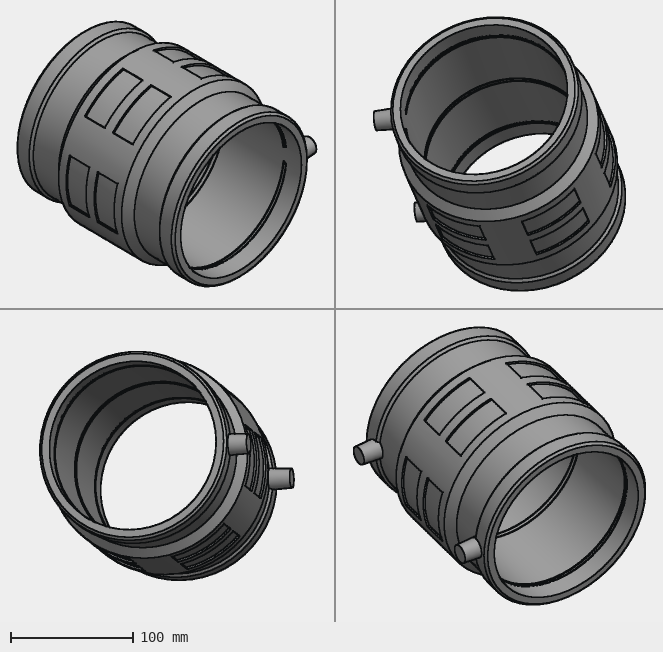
import cadquery as cq

length = 182.0
half_length = length / 2
body_radius = 167.0 / 2
collar_radius = 157.0 / 2
neck_radius = 152.3 / 2

end_chamfer = 2.2
collar_width = 15.8
collar_slope = collar_radius - neck_radius
neck_end = 47.3
body_start = neck_end + (body_radius - neck_radius)

bore_radius = 140.0 / 2
rib_radius = 138.7 / 2
rib_width = 4.0
groove_start = 17.7
groove_width = 3.1
groove_depth = 1.0

window_count = 6
window_depth = 1.8
window_chord = 50.8
window_width = 23.0
window_gap = 9.5
cut_clearance = 1.8

terminal_tip_y = 177.5 - body_radius
terminal_tip_diameter = 16.0
terminal_base_diameter = 19.0
terminal_base_y = 65.5
terminal_inset = 14.5


def make_body():
    """Revolve the stepped outside, mirrored about the middle of the coupler."""
    left_outline = [
        (-half_length, collar_radius - end_chamfer),
        (-half_length + end_chamfer, collar_radius),
        (-half_length + collar_width, collar_radius),
        (-half_length + collar_width + collar_slope, neck_radius),
        (-half_length + neck_end, neck_radius),
        (-half_length + body_start, body_radius),
    ]
    right_outline = [(-x, radius) for x, radius in reversed(left_outline)]
    outline = [(-half_length, 0)] + left_outline + right_outline + [(half_length, 0)]
    return cq.Workplane("XY").polyline(outline).close().revolve(360, (0, 0), (1, 0))


def make_bore():
    """Through bore that narrows to the stop rib at the middle of the coupler."""
    half_bore = cq.Workplane("YZ").circle(bore_radius).extrude(half_length - rib_width / 2)
    bore = cq.Workplane("YZ", origin=(-half_length, 0, 0)).circle(rib_radius).extrude(length)
    bore = bore.union(half_bore.translate((-half_length, 0, 0)))
    return bore.union(half_bore.translate((rib_width / 2, 0, 0)))


def make_groove(center_x):
    """Shallow ring groove in the wall of the bore."""
    return (
        cq.Workplane("YZ", origin=(center_x - groove_width / 2, 0, 0))
        .circle(bore_radius + groove_depth)
        .extrude(groove_width)
    )


def make_window(center_x):
    """Shallow pocket facing -Y, with parallel sides and a floor concentric with the body."""
    start_x = center_x - window_width / 2
    ring = (
        cq.Workplane("YZ", origin=(start_x, 0, 0))
        .circle(body_radius + cut_clearance)
        .circle(body_radius - window_depth)
        .extrude(window_width)
    )
    block = cq.Workplane("XY").box(window_width, body_radius + cut_clearance, window_chord)
    return ring.intersect(block.translate((center_x, -(body_radius + cut_clearance) / 2, 0)))


def make_terminal(center_x):
    """Slightly tapered round post rising in +Y from the collar, rooted inside the wall."""
    outline = [
        (center_x, terminal_base_y),
        (center_x + terminal_base_diameter / 2, terminal_base_y),
        (center_x + terminal_tip_diameter / 2, terminal_tip_y),
        (center_x, terminal_tip_y),
    ]
    axis_start = (center_x, 0)
    axis_end = (center_x, 1)
    return cq.Workplane("XY").polyline(outline).close().revolve(360, axis_start, axis_end)


result = make_body()

groove_inset = groove_start + groove_width / 2
for side in (-1, 1):
    result = result.cut(make_groove(side * (half_length - groove_inset)).cut(make_bore()))
    result = result.union(make_terminal(side * (half_length - terminal_inset)))
result = result.cut(make_bore())

for side in (-1, 1):
    window = make_window(side * (window_gap + window_width) / 2)
    for index in range(window_count):
        angle = index * 360 / window_count
        result = result.cut(window.rotate((0, 0, 0), (1, 0, 0), angle))